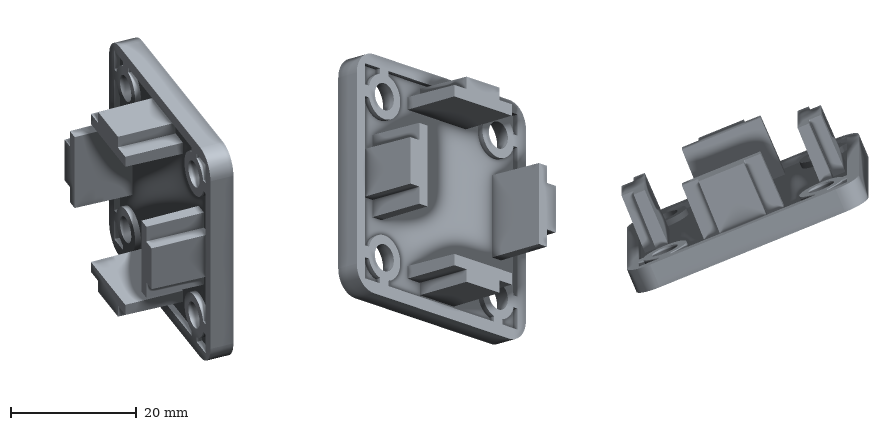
import cadquery as cq

plate_size = 40.0
plate_thickness = 4.0
corner_radius = 4.0

rim_width = 2.0
recess_depth = 1.0

hole_offset = 13.5
hole_diameter = 4.5
boss_diameter = 7.5
counterbore_diameter = 8.2
counterbore_depth = 2.0
web_width = 2.0

prong_reach = 9.0
prong_draft = 0.6
flange_inner = 13.1
flange_outer = 15.2
stem_outer = 17.3
flange_half_width = 6.9
stem_half_width = 4.0

hole_points = [(x, z) for x in (-hole_offset, hole_offset) for z in (-hole_offset, hole_offset)]


def front_plane(y=0.0):
    """Sketch plane with local X along +X, local Y along +Z and normal along -Y."""
    return cq.Workplane("XZ", origin=(0, y, 0))


def make_plate():
    plate = front_plane(plate_thickness).rect(plate_size, plate_size).extrude(plate_thickness)
    return plate.edges("|Y").fillet(corner_radius)


def make_recess():
    """Square pocket minus the bosses and the webs that tie them to the rim."""
    pocket_size = plate_size - 2 * rim_width
    floor = front_plane(recess_depth)
    pocket = floor.rect(pocket_size, pocket_size).extrude(recess_depth)
    bosses = floor.pushPoints(hole_points).circle(boss_diameter / 2).extrude(recess_depth)
    pocket = pocket.cut(bosses)
    web_length = pocket_size / 2 - hole_offset
    web_center = hole_offset + web_length / 2
    for x_side in (-1, 1):
        for z_side in (-1, 1):
            side_web = floor.center(x_side * web_center, z_side * hole_offset)
            pocket = pocket.cut(side_web.rect(web_length, web_width).extrude(recess_depth))
            end_web = floor.center(x_side * hole_offset, z_side * web_center)
            pocket = pocket.cut(end_web.rect(web_width, web_length).extrude(recess_depth))
    return pocket


def make_prong():
    """Upper prong: a wide flange facing the center and a narrower stem facing the rim."""
    outline = [
        (-flange_half_width, flange_inner),
        (flange_half_width, flange_inner),
        (flange_half_width, flange_outer),
        (stem_half_width, flange_outer),
        (stem_half_width, stem_outer),
        (-stem_half_width, stem_outer),
        (-stem_half_width, flange_outer),
        (-flange_half_width, flange_outer),
    ]
    prong_length = recess_depth + prong_reach
    return front_plane(recess_depth).polyline(outline).close().extrude(prong_length, taper=prong_draft)


result = make_plate().cut(make_recess())

prong = make_prong()
for quarter_turn in range(4):
    result = result.union(prong.rotate((0, 0, 0), (0, 1, 0), 90 * quarter_turn))

back_face = cq.Workplane("ZX", origin=(0, plate_thickness, 0))
result = back_face.add(result.val()).pushPoints(hole_points).cboreHole(
    hole_diameter, counterbore_diameter, counterbore_depth, depth=plate_thickness
)